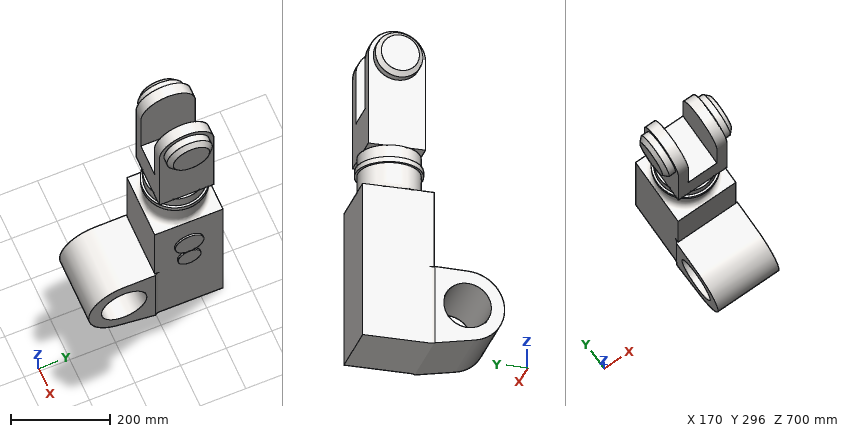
import cadquery as cq
import math

total_height = 700.0

body_width = 142.0
body_depth = 150.0
body_height = 341.5

collar_radius = 65.0
collar_top = 440.0
ring_radius = 70.0
ring_bottom = 400.5
ring_height = 11.0
foot_fillet = 15.0

fork_width = 120.0
fork_gap = 70.0
slot_depth = 170.0
fork_radius = fork_width / 2
pin_height = total_height - fork_radius
pin_length = 170.0
pin_radius = 50.0
pin_chamfer = 10.0

lug_width = 150.0
lug_reach = 296.0 - body_depth / 2
lug_radius = 78.0
lug_bore_radius = 50.0
lug_center_y = lug_radius - lug_reach
lug_center_z = 94.0
lug_back_height = 173.0
lug_blend_length = 9.0

pad_thickness = (lug_width - body_width) / 2
lower_pad_radius = 25.0
upper_pad_radius = 31.5
lower_pad_z = 197.0
upper_pad_z = lower_pad_z + lower_pad_radius + upper_pad_radius
pads = [(lower_pad_radius, lower_pad_z), (upper_pad_radius, upper_pad_z)]


def x_cylinder(radius, start_x, length, y, z):
    """Cylinder along X starting at start_x."""
    return cq.Workplane("YZ", origin=(start_x, y, z)).circle(radius).extrude(length)


def make_body():
    body = cq.Workplane("XY").rect(body_width, body_depth).extrude(body_height)
    collar = (
        cq.Workplane("XY", origin=(0, 0, body_height))
        .circle(collar_radius)
        .extrude(collar_top - body_height)
    )
    ring = cq.Workplane("XY", origin=(0, 0, ring_bottom)).circle(ring_radius).extrude(ring_height)
    blended = body.union(collar).edges("%CIRCLE").edges("<Z").fillet(foot_fillet)
    return blended.union(ring)


def make_fork():
    fork = (
        cq.Workplane("YZ", origin=(-fork_width / 2, 0, 0))
        .moveTo(-fork_radius, collar_top)
        .lineTo(fork_radius, collar_top)
        .lineTo(fork_radius, pin_height)
        .threePointArc((0, total_height), (-fork_radius, pin_height))
        .close()
        .extrude(fork_width)
    )
    slot = cq.Workplane("XY", origin=(0, 0, total_height - slot_depth)).rect(fork_gap, fork_width)
    return fork, slot.extrude(slot_depth)


def make_pin():
    pin = x_cylinder(pin_radius, -pin_length / 2, pin_length, 0, pin_height)
    return pin.faces("<X or >X").chamfer(pin_chamfer)


def tangent_point(y, z, side):
    """Point where the line from (y, z) touches the lug circle, above (+1) or below (-1)."""
    dy = y - lug_center_y
    dz = z - lug_center_z
    angle = math.atan2(dz, dy) + side * math.acos(lug_radius / math.hypot(dy, dz))
    return lug_center_y + lug_radius * math.cos(angle), lug_center_z + lug_radius * math.sin(angle)


def make_lug():
    body_face = -body_depth / 2
    blend_start = body_face + lug_blend_length
    upper = tangent_point(blend_start, lug_back_height, 1)
    lower = tangent_point(body_face, 0, -1)
    profile = (
        cq.Workplane("YZ", origin=(-lug_width / 2, 0, 0))
        .moveTo(blend_start, 0)
        .lineTo(blend_start, lug_back_height)
        .lineTo(*upper)
        .threePointArc((-lug_reach, lug_center_z), lower)
        .lineTo(body_face, 0)
        .close()
        .extrude(lug_width)
    )
    blend_radius = (lug_blend_length**2 + pad_thickness**2) / (2 * pad_thickness)
    for side in (-1, 1):
        relief = (
            cq.Workplane("XY")
            .center(side * (body_width / 2 + blend_radius), blend_start)
            .circle(blend_radius)
            .extrude(total_height)
        )
        profile = profile.cut(relief)
    return profile


fork, fork_slot = make_fork()
result = make_body().union(fork).union(make_pin()).cut(fork_slot).union(make_lug())
for radius, height in pads:
    result = result.union(x_cylinder(radius, 0, lug_width / 2, 0, height))
result = result.cut(x_cylinder(lug_bore_radius, -lug_width / 2, lug_width, lug_center_y, lug_center_z))